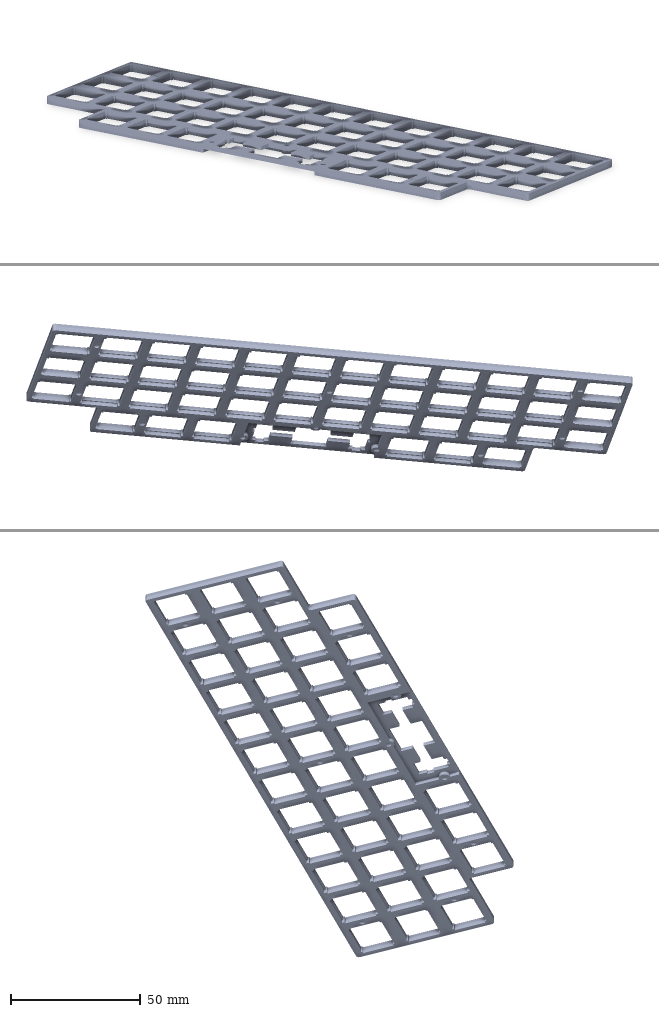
import cadquery as cq


UNIT = 19.05
COLUMNS = 12
ROWS = 4
SIDE_KEYS = 3
SPACEBAR_UNITS = 3
THICKNESS = 3.0
CORNER_RADIUS = 1.1

SWITCH_SIZE = 14.0
WIDE_SWITCH_WIDTH = 15.5
WIDE_SWITCH_HEIGHT = 12.8

CLIP_WIDTH = 14.0
CLIP_HEIGHT = 15.1
CLIP_DEPTH = 1.5

STAB_OFFSET = UNIT
STAB_WIDTH = 6.65
STAB_TOP = 5.53
STAB_BOTTOM = -6.77
STAB_FOOT_WIDTH = 3.3
STAB_FOOT_BOTTOM = -7.97
STAB_EAR_REACH = 4.2
STAB_EAR_TOP = 2.3
STAB_EAR_BOTTOM = -0.5
STAB_BAR_HEIGHT = 4.6

SCREW_DIAMETER = 2.2
SPACE_SCREW_OFFSET = 26.4
SPACE_SCREW_HEIGHT = 6.0

RECESS_WIDTH = 52.8
RECESS_DEPTH = 1.5
RECESS_BACK_INSET = 1.0
BOSS_DIAMETER = 2 * SCREW_DIAMETER

WIDTH = COLUMNS * UNIT
HEIGHT = ROWS * UNIT
BOTTOM = -HEIGHT / 2
STEP_Y = BOTTOM + UNIT
BOTTOM_ROW_UNITS = 2 * SIDE_KEYS + SPACEBAR_UNITS
BOTTOM_ROW_WIDTH = BOTTOM_ROW_UNITS * UNIT
SPACE_Y = BOTTOM + UNIT / 2
RECESS_BACK = STEP_Y - RECESS_BACK_INSET


def box(x_min, x_max, y_min, y_max, height):
    """Block standing on Z = 0 between the given sides."""
    return cq.Workplane("XY").box(
        x_max - x_min, y_max - y_min, height, centered=False
    ).translate((x_min, y_min, 0))


def cylinders(points, diameter, height):
    """Upright cylinders standing on Z = 0."""
    return cq.Workplane("XY").pushPoints(points).circle(diameter / 2).extrude(height)


def make_plate():
    """T-shaped outline with rounded corners."""
    upper = box(-WIDTH / 2, WIDTH / 2, STEP_Y, HEIGHT / 2, THICKNESS)
    lower = box(-BOTTOM_ROW_WIDTH / 2, BOTTOM_ROW_WIDTH / 2, BOTTOM, STEP_Y, THICKNESS)
    return upper.union(lower).edges("|Z").fillet(CORNER_RADIUS)


def key_centers():
    """Centres of all single-unit keys."""
    centers = []
    for row in range(1, ROWS):
        for column in range(COLUMNS):
            x = (column + 0.5) * UNIT - WIDTH / 2
            centers.append((x, SPACE_Y + row * UNIT))
    for side in (-1, 1):
        for key in range(SIDE_KEYS):
            x = side * (SPACEBAR_UNITS / 2 + key + 0.5) * UNIT
            centers.append((x, SPACE_Y))
    return centers


def make_key_openings():
    """Cross-like openings of all single-unit keys."""
    grid = cq.Workplane("XY").pushPoints(key_centers())
    squares = grid.rect(SWITCH_SIZE, SWITCH_SIZE).extrude(THICKNESS)
    wide = grid.rect(WIDE_SWITCH_WIDTH, WIDE_SWITCH_HEIGHT).extrude(THICKNESS)
    return squares.union(wide)


def make_clip_clearances():
    """Underside pockets reaching past the front and back walls of the inner key openings."""
    inner_centers = []
    for x, y in key_centers():
        row_width = BOTTOM_ROW_WIDTH if y == SPACE_Y else WIDTH
        if abs(x) < row_width / 2 - UNIT:
            inner_centers.append((x, y))
    return (
        cq.Workplane("XY")
        .pushPoints(inner_centers)
        .rect(CLIP_WIDTH, CLIP_HEIGHT)
        .extrude(CLIP_DEPTH)
    )


def make_stabilizer_opening(side):
    """Housing opening with a foot notch at the front and an ear notch on the outer side."""
    center = side * STAB_OFFSET
    housing = box(
        center - STAB_WIDTH / 2, center + STAB_WIDTH / 2,
        SPACE_Y + STAB_BOTTOM, SPACE_Y + STAB_TOP, THICKNESS,
    )
    foot = box(
        center - STAB_FOOT_WIDTH / 2, center + STAB_FOOT_WIDTH / 2,
        SPACE_Y + STAB_FOOT_BOTTOM, SPACE_Y, THICKNESS,
    )
    ear_tip = center + side * STAB_EAR_REACH
    ear = box(
        min(center, ear_tip), max(center, ear_tip),
        SPACE_Y + STAB_EAR_BOTTOM, SPACE_Y + STAB_EAR_TOP, THICKNESS,
    )
    return housing.union(foot).union(ear)


def make_spacebar_opening():
    """Switch opening joined to both stabilizer openings by the wire slot."""
    half = SWITCH_SIZE / 2
    opening = box(-half, half, SPACE_Y - half, SPACE_Y + half, THICKNESS)
    bar_half = STAB_BAR_HEIGHT / 2
    bar = box(-STAB_OFFSET, STAB_OFFSET, SPACE_Y - bar_half, SPACE_Y + bar_half, THICKNESS)
    opening = opening.union(bar)
    for side in (-1, 1):
        opening = opening.union(make_stabilizer_opening(side))
    return opening


def space_screw_points():
    """Screws around the spacebar: one behind it and one beyond each end."""
    end_y = BOTTOM + SPACE_SCREW_HEIGHT
    return [(0, STEP_Y), (-SPACE_SCREW_OFFSET, end_y), (SPACE_SCREW_OFFSET, end_y)]


def make_recess():
    """Underside recess below the spacebar that leaves a boss around each spacebar screw."""
    recess = box(-RECESS_WIDTH / 2, RECESS_WIDTH / 2, BOTTOM, RECESS_BACK, RECESS_DEPTH)
    return recess.cut(cylinders(space_screw_points(), BOSS_DIAMETER, RECESS_DEPTH))


def screw_points():
    """Screws between neighbouring keys."""
    points = [(0, SPACE_Y + 2 * UNIT)]
    for side in (-1, 1):
        outer_x = side * (WIDTH / 2 - UNIT)
        points.append((outer_x, SPACE_Y + UNIT))
        points.append((outer_x, SPACE_Y + 3 * UNIT))
        points.append((side * (BOTTOM_ROW_WIDTH / 2 - UNIT), SPACE_Y))
    return points


result = (
    make_plate()
    .cut(make_key_openings())
    .cut(make_clip_clearances())
    .cut(make_spacebar_opening())
    .cut(make_recess())
    .cut(cylinders(screw_points() + space_screw_points(), SCREW_DIAMETER, THICKNESS))
)